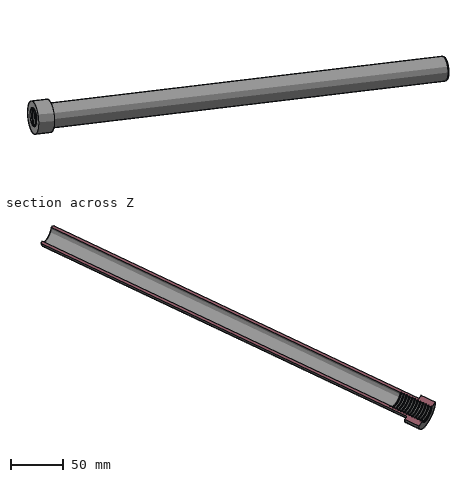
import cadquery as cq
import math

HEAD_DIAMETER = 32.0
HEAD_LENGTH = 16.0
SHANK_DIAMETER = 24.0
SHANK_LENGTH = 400.0
TIP_CHAMFER_LENGTH = 1.5
TIP_CHAMFER_DEPTH = 1.0

BORE_DIAMETER = 17.3
THREAD_DIAMETER = 19.5
THREAD_PITCH = 3.0
THREAD_TURNS = 12
THREAD_LENGTH = THREAD_TURNS * THREAD_PITCH
THREAD_START_ANGLE = 265.0
FLANK_ANGLE = 30.0
ROOT_WIDTH = 0.1
GROOVE_OVERLAP = 0.1

HEAD_FACE_Y = -HEAD_LENGTH
TIP_Y = SHANK_LENGTH


def sleeve():
    """Headed tube, revolved about the Y axis from its half section."""
    head_radius = HEAD_DIAMETER / 2
    shank_radius = SHANK_DIAMETER / 2
    bore_radius = BORE_DIAMETER / 2
    half_section = [
        (bore_radius, HEAD_FACE_Y),
        (head_radius, HEAD_FACE_Y),
        (head_radius, 0),
        (shank_radius, 0),
        (shank_radius, TIP_Y - TIP_CHAMFER_LENGTH),
        (shank_radius - TIP_CHAMFER_DEPTH, TIP_Y),
        (bore_radius, TIP_Y),
    ]
    return cq.Workplane("XY").polyline(half_section).close().revolve(360, (0, 0, 0), (0, 1, 0))


def thread_groove():
    """Helical cutter with a trapezoid section, started one pitch ahead of the head face."""
    inner_radius = BORE_DIAMETER / 2 - GROOVE_OVERLAP
    root_radius = THREAD_DIAMETER / 2
    root_half_width = ROOT_WIDTH / 2
    flank_run = (root_radius - inner_radius) * math.tan(math.radians(FLANK_ANGLE))
    mouth_half_width = root_half_width + flank_run
    profile = cq.Workplane("XZ").polyline(
        [
            (inner_radius, -mouth_half_width),
            (root_radius, -root_half_width),
            (root_radius, root_half_width),
            (inner_radius, mouth_half_width),
        ]
    ).close()
    helix = cq.Wire.makeHelix(THREAD_PITCH, THREAD_LENGTH + THREAD_PITCH, inner_radius)
    groove = profile.sweep(cq.Workplane(helix), isFrenet=True)
    along_y = groove.rotate((0, 0, 0), (1, 0, 0), -90)
    turned = along_y.rotate((0, 0, 0), (0, 1, 0), THREAD_START_ANGLE)
    return turned.translate((0, HEAD_FACE_Y - THREAD_PITCH, 0))


result = sleeve().cut(thread_groove())